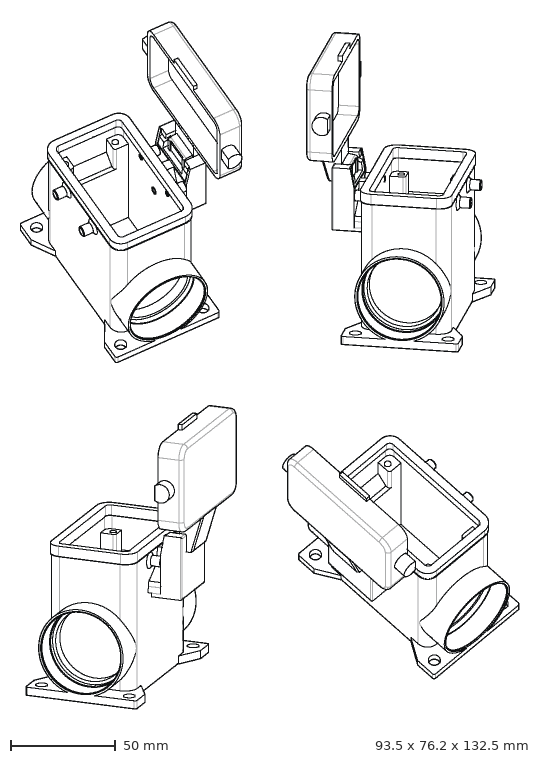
import cadquery as cq
BODY_LENGTH = 70.4
BODY_WIDTH = 43.6
BODY_RADIUS = 6.2
BODY_BOTTOM = 0.4
HOUSING_TOP = 73.0
RIM_BOTTOM = 67.7
RIM_OVERHANG = 0.4
FLOOR_TOP = 4.1

MOUTH_LENGTH = 63.2
MOUTH_WIDTH = 35.8
MOUTH_RADIUS = 2.3
CAVITY_STEP = 0.7
CAVITY_LENGTH = MOUTH_LENGTH + 2 * CAVITY_STEP
CAVITY_WIDTH = MOUTH_WIDTH + 2 * CAVITY_STEP
CAVITY_RADIUS = 2.9

POST_SIZE = 7.7
POST_TOP = 60.8
POST_RADIUS = 1.3
POST_HOLE_DIAMETER = 3.2
POST_HOLE_DEPTH = 10.6
POST_HOLE_X = 28.6
POST_HOLE_Y = 13.6
BLOCK_TOP = 50.9
BLOCK_SLOPE = 5.3

OVERALL_LENGTH = 93.5
ENTRY_HEIGHT = 24.6
ENTRY_RADIUS = 21.7
ENTRY_BORES = [(20.7, 0.7), (20.3, 10.5), (19.7, 13.0), (18.2, 18.3)]

FOOT_WIDTH = 57.0
FOOT_THICKNESS = 4.1
FOOT_STRAIGHT_X = 35.5
FOOT_INNER_X = 24.0
FOOT_CORNER_RADIUS = 1.0
FOOT_HOLE_DIAMETER = 5.7
FOOT_HOLE_X = 40.8
FOOT_HOLE_Y = 22.5

PEG_X = 12.7
PEG_Z = 63.6
PEG_DIAMETER = 5.2
PEG_LENGTH = 6.5
PEG_BASE_DIAMETER = 8.2
PEG_BASE_HEIGHT = 1.3
PEG_CHAMFER = 0.4
PEG_RECESS_DIAMETER = 2.9

PEDESTAL_BACK = 28.1
PEDESTAL_TOP = 67.2
PEDESTAL_TOP_HALF = 2.5
PEDESTAL_NECK = (5.4, 59.0)
PEDESTAL_FLANK = (9.5, 55.9)
PEDESTAL_SHOULDER = (14.0, 53.5)
PEDESTAL_HIP = (14.6, 51.0)
PEDESTAL_BOTTOM_HALF = 15.0
PEDESTAL_BOTTOM = 48.0
PEDESTAL_RECESS_DIAMETER = 3.7
PEDESTAL_RECESS_Z = 52.0
BRACKET_WIDTH = 30.0
BRACKET_BACK = 39.1
BRACKET_TOP = 77.6
BRACKET_TOP_FRONT = 30.1
BRACKET_BOTTOM = 46.1
BRACKET_TOE_FRONT = 23.5
BRACKET_RIM = 1.6
BRACKET_INNER_TOP_FRONT = 30.6
BRACKET_INNER_FRONT = 30.1
BRACKET_STEP_FRONT = 29.3
BRACKET_STEP_FOOT = 28.5
BRACKET_EDGE_RADIUS = 0.7
GROOVE_BACK = 33.1
GROOVE_TOP = 75.0
GROOVE_BOTTOM = 74.1
GROOVE_LIP = 72.5
WALL_RECESS_DEPTH = 0.4

LID_LENGTH = 70.4
LID_HEIGHT = 43.7
LID_BOTTOM = 86.1
LID_FRONT = 35.0
LID_BACK = 47.7
LID_RADIUS = 6.1
LID_BACK_FILLET = 2.0
LID_WALL = 2.6
LID_TOP = LID_BOTTOM + LID_HEIGHT
LID_MIDDLE = LID_BOTTOM + LID_HEIGHT / 2
TAB_WIDTH = 18.7
TAB_THICKNESS = 2.1
TAB_TOP = 132.5
TRUNNION_SPAN = 83.5
TRUNNION_RADIUS = 4.6
TRUNNION_Y = 38.8
TRUNNION_FLAT_Y = 35.9

ARM_WIDTH = 17.6
ARM_FRONT = 35.5
ARM_BOTTOM = 68.6
ARM_BACK_BOTTOM = 42.1
ARM_ROOT = 87.5
ARM_EDGE_CHAMFER = 0.8
ARM_SIDE_CLEARANCE = 0.3
TOE_WIDTH = 15.2
TOE_FRONT = 30.7
TOE_FRONT_TOP = 76.0
TOE_EDGE_Y = 32.0
TOE_EDGE_TOP = 76.7
TOE_SHOULDER = 77.2
TOE_RECESS_WIDTH = 11.4
TOE_RECESS_TOP = 75.9
TOE_RECESS_DEPTH = 0.7


def box(x0, x1, y0, y1, z0, z1):
    """Box between two corners."""
    return cq.Workplane("XY").box(x1 - x0, y1 - y0, z1 - z0, centered=False).translate((x0, y0, z0))


def rounded_block(length, width, radius, z0, z1):
    """Upright block with rounded vertical edges, centred on the Z axis."""
    block = box(-length / 2, length / 2, -width / 2, width / 2, z0, z1)
    return block.edges("|Z").fillet(radius)


def extrude_along_x(points, width):
    """YZ outline extruded symmetrically about X = 0."""
    return cq.Workplane("YZ").polyline(points).close().extrude(width / 2, both=True)


def cylinder_along_y(x, z, diameter, y0, y1):
    start = cq.Vector(x, y0, z)
    return cq.Workplane(cq.Solid.makeCylinder(diameter / 2, y1 - y0, start, cq.Vector(0, 1, 0)))


def make_shell():
    body = rounded_block(BODY_LENGTH, BODY_WIDTH, BODY_RADIUS, BODY_BOTTOM, RIM_BOTTOM)
    rim = rounded_block(
        BODY_LENGTH + 2 * RIM_OVERHANG, BODY_WIDTH + 2 * RIM_OVERHANG, BODY_RADIUS, RIM_BOTTOM, HOUSING_TOP
    )
    return body.union(rim)


def make_foot(side):
    end = OVERALL_LENGTH / 2
    half = FOOT_WIDTH / 2
    inner_y = BODY_WIDTH / 2
    outline = [
        (end, -half), (end, half), (FOOT_STRAIGHT_X, half), (FOOT_INNER_X, inner_y),
        (FOOT_INNER_X, -inner_y), (FOOT_STRAIGHT_X, -half),
    ]
    foot = cq.Workplane("XY").polyline([(side * x, y) for x, y in outline]).close().extrude(FOOT_THICKNESS)
    end_face = ">X" if side > 0 else "<X"
    foot = foot.faces(end_face).edges("|Z").fillet(FOOT_CORNER_RADIUS)
    holes = [(side * FOOT_HOLE_X, y) for y in (-FOOT_HOLE_Y, FOOT_HOLE_Y)]
    hole_tools = cq.Workplane("XY").pushPoints(holes).circle(FOOT_HOLE_DIAMETER / 2).extrude(FOOT_THICKNESS)
    return foot.cut(hole_tools)


def entry_cylinder(side, radius, length):
    """Cylinder on the cable axis running inward from one end of the housing."""
    end_plane = cq.Workplane("YZ", origin=(side * OVERALL_LENGTH / 2, 0, ENTRY_HEIGHT))
    return end_plane.circle(radius).extrude(-side * length)


def make_cavity():
    lower = rounded_block(CAVITY_LENGTH, CAVITY_WIDTH, CAVITY_RADIUS, FLOOR_TOP, RIM_BOTTOM)
    mouth = rounded_block(MOUTH_LENGTH, MOUTH_WIDTH, MOUTH_RADIUS, RIM_BOTTOM, HOUSING_TOP)
    return lower.union(mouth)


def make_end_block(side):
    """Full-width block at one end of the cavity, its top sloping down from the end wall."""
    outer = CAVITY_LENGTH / 2
    inner = outer - POST_SIZE
    outline = [
        (inner, FLOOR_TOP), (outer, FLOOR_TOP), (outer, BLOCK_TOP),
        (outer - BLOCK_SLOPE, BLOCK_TOP - BLOCK_SLOPE), (inner, BLOCK_TOP - BLOCK_SLOPE),
    ]
    profile = cq.Workplane("XZ").polyline([(side * x, z) for x, z in outline]).close()
    return profile.extrude(CAVITY_WIDTH / 2, both=True)


def make_post(side_x, side_y):
    """Corner post with a rounded inner edge and a blind screw hole."""
    centre_x = side_x * (CAVITY_LENGTH - POST_SIZE) / 2
    centre_y = side_y * (CAVITY_WIDTH - POST_SIZE) / 2
    post = cq.Workplane("XY").rect(POST_SIZE, POST_SIZE).extrude(POST_TOP - FLOOR_TOP)
    inner_edge = cq.selectors.NearestToPointSelector((-side_x * POST_SIZE, -side_y * POST_SIZE, POST_TOP / 2))
    post = post.edges("|Z").edges(inner_edge).fillet(POST_RADIUS)
    post = post.translate((centre_x, centre_y, FLOOR_TOP))
    hole = cq.Workplane("XY", origin=(side_x * POST_HOLE_X, side_y * POST_HOLE_Y, POST_TOP))
    return post.cut(hole.circle(POST_HOLE_DIAMETER / 2).extrude(-POST_HOLE_DEPTH))


def make_peg(x, side):
    """Round peg with a conical base, standing out from a long wall."""
    wall = BODY_WIDTH / 2
    peg = cylinder_along_y(0, 0, PEG_DIAMETER, wall, wall + PEG_LENGTH).faces(">Y").chamfer(PEG_CHAMFER)
    cone = cq.Solid.makeCone(
        PEG_BASE_DIAMETER / 2, PEG_DIAMETER / 2, PEG_BASE_HEIGHT, cq.Vector(0, wall, 0), cq.Vector(0, 1, 0)
    )
    peg = peg.union(cq.Workplane(cone))
    if side < 0:
        peg = peg.mirror("XZ")
    return peg.translate((x, 0, PEG_Z))


def make_pedestal():
    """Bell-shaped support joining the bracket to the rear wall."""
    wall = BODY_WIDTH / 2
    half = (
        cq.Workplane("XZ", origin=(0, wall, 0))
        .moveTo(0, PEDESTAL_BOTTOM)
        .lineTo(0, PEDESTAL_TOP)
        .lineTo(PEDESTAL_TOP_HALF, PEDESTAL_TOP)
        .lineTo(*PEDESTAL_NECK)
        .threePointArc(PEDESTAL_FLANK, PEDESTAL_SHOULDER)
        .lineTo(*PEDESTAL_HIP)
        .lineTo(PEDESTAL_BOTTOM_HALF, PEDESTAL_BOTTOM)
        .close()
        .extrude(wall - PEDESTAL_BACK)
    )
    return half.union(half.mirror("YZ"))


def make_bracket():
    """Two grooved cheeks on a solid foot, with an open slot between them for the lid arm."""
    half_inside = BRACKET_WIDTH / 2 - BRACKET_RIM
    bracket = extrude_along_x(
        [
            (BRACKET_BACK, BRACKET_BOTTOM), (BRACKET_BACK, BRACKET_TOP), (BRACKET_TOP_FRONT, BRACKET_TOP),
            (PEDESTAL_BACK, PEDESTAL_TOP), (PEDESTAL_BACK, PEDESTAL_BOTTOM),
            (BRACKET_TOE_FRONT, PEDESTAL_BOTTOM), (BRACKET_TOE_FRONT, BRACKET_BOTTOM),
        ],
        BRACKET_WIDTH,
    )
    bracket = bracket.faces(">Y").edges().fillet(BRACKET_EDGE_RADIUS)
    front_recess = extrude_along_x(
        [
            (BRACKET_TOE_FRONT, BRACKET_TOP), (BRACKET_INNER_TOP_FRONT, BRACKET_TOP),
            (BRACKET_INNER_FRONT, GROOVE_TOP), (GROOVE_BACK, GROOVE_TOP),
            (GROOVE_BACK, GROOVE_BOTTOM), (BRACKET_STEP_FRONT, GROOVE_LIP),
            (BRACKET_STEP_FOOT, PEDESTAL_TOP), (BRACKET_TOE_FRONT, PEDESTAL_TOP),
        ],
        2 * half_inside,
    )
    half_slot = ARM_WIDTH / 2 + ARM_SIDE_CLEARANCE
    arm_slot = box(-half_slot, half_slot, PEDESTAL_BACK, BRACKET_BACK, ARM_BOTTOM, BRACKET_TOP)
    return bracket.cut(front_recess).cut(arm_slot)


def make_housing():
    housing = make_shell()
    entry_length = (OVERALL_LENGTH - BODY_LENGTH) / 2 + BODY_RADIUS
    for side in (-1, 1):
        housing = housing.union(make_foot(side))
        housing = housing.union(entry_cylinder(side, ENTRY_RADIUS, entry_length))
    housing = housing.cut(make_cavity())
    for side in (-1, 1):
        fittings = make_end_block(side)
        for side_y in (-1, 1):
            fittings = fittings.union(make_post(side, side_y))
        housing = housing.union(fittings)
        for radius, depth in ENTRY_BORES:
            housing = housing.cut(entry_cylinder(side, radius, depth))
    housing = housing.union(make_pedestal()).union(make_bracket())
    inner_wall = CAVITY_WIDTH / 2
    recess_end = inner_wall + WALL_RECESS_DEPTH
    for x in (-PEG_X, PEG_X):
        for side in (-1, 1):
            housing = housing.union(make_peg(x, side))
        housing = housing.cut(cylinder_along_y(x, PEG_Z, PEG_RECESS_DIAMETER, inner_wall, recess_end))
    return housing.cut(
        cylinder_along_y(0, PEDESTAL_RECESS_Z, PEDESTAL_RECESS_DIAMETER, inner_wall, recess_end)
    )


def make_lid_tray():
    """Solid block of the lid and the rounded block that hollows it from the front."""
    half = LID_LENGTH / 2
    tray = box(-half, half, LID_FRONT, LID_BACK, LID_BOTTOM, LID_TOP).edges("|Y").fillet(LID_RADIUS)
    tray = tray.faces(">Y").edges().fillet(LID_BACK_FILLET)
    inside = box(
        LID_WALL - half, half - LID_WALL,
        LID_FRONT, LID_BACK - LID_WALL,
        LID_BOTTOM + LID_WALL, LID_TOP - LID_WALL,
    )
    return tray, inside.edges("|Y").fillet(LID_RADIUS - LID_WALL)


def make_trunnions():
    """Round bar with a flat front, standing out at both ends of the lid."""
    half = TRUNNION_SPAN / 2
    end_plane = cq.Workplane("YZ", origin=(-half, TRUNNION_Y, LID_MIDDLE))
    bar = end_plane.circle(TRUNNION_RADIUS).extrude(TRUNNION_SPAN)
    return bar.cut(box(-half, half, 0, TRUNNION_FLAT_Y, LID_BOTTOM, LID_TOP))


def make_arm():
    """Tapering arm with a toe at its lower front and a shallow recess in the toe."""
    arm = extrude_along_x(
        [
            (ARM_FRONT, ARM_ROOT), (ARM_FRONT, ARM_BOTTOM),
            (ARM_BACK_BOTTOM, ARM_BOTTOM), (LID_BACK, ARM_ROOT),
        ],
        ARM_WIDTH,
    )
    back_middle = (0, (ARM_BACK_BOTTOM + LID_BACK) / 2, (ARM_BOTTOM + ARM_ROOT) / 2)
    back_face = cq.selectors.NearestToPointSelector(back_middle)
    arm = arm.faces(back_face).edges("not(>Z)").chamfer(ARM_EDGE_CHAMFER)
    toe = extrude_along_x(
        [
            (ARM_FRONT, TOE_SHOULDER), (TOE_EDGE_Y, TOE_EDGE_TOP), (TOE_FRONT, TOE_FRONT_TOP),
            (TOE_FRONT, ARM_BOTTOM), (ARM_FRONT, ARM_BOTTOM),
        ],
        TOE_WIDTH,
    )
    half_recess = TOE_RECESS_WIDTH / 2
    recess_back = TOE_FRONT + TOE_RECESS_DEPTH
    recess = box(-half_recess, half_recess, TOE_FRONT, recess_back, ARM_BOTTOM, TOE_RECESS_TOP)
    return arm.union(toe).cut(recess)


def make_lid():
    tray, inside = make_lid_tray()
    half_tab = TAB_WIDTH / 2
    tab = box(-half_tab, half_tab, LID_FRONT, LID_FRONT + TAB_THICKNESS, LID_TOP - LID_WALL, TAB_TOP)
    return tray.union(make_trunnions()).union(tab).union(make_arm()).cut(inside)


housing = make_housing()
lid = make_lid()
result = cq.Compound.makeCompound([housing.val(), lid.val()])